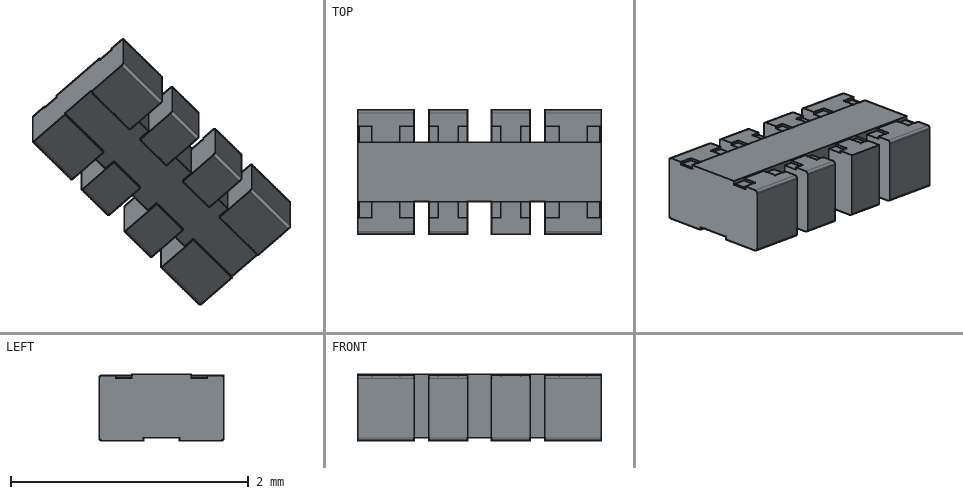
import cadquery as cq

length = 2.05
width = 1.05
height = 0.56

strip_width = 0.50
strip_rise = 0.01
terminal_top = height - strip_rise

end_terminal = (0.55, length / 2)
middle_terminal = (0.10, 0.425)
edge_radius = 0.025

pad_thickness = 0.025
pad_gap = 0.30

pocket_depth = 0.02
pocket_reach = 0.135
end_pocket_length = 0.12
middle_pocket_length = 0.08

pocket_wall = 0.001

ledge_length = 0.0125
ledge_drop = 0.005


def block(x_range, y_range, z_range):
    """Box spanning the given X, Y and Z ranges."""
    sizes = [high - low for low, high in (x_range, y_range, z_range)]
    corner = (x_range[0], y_range[0], z_range[0])
    return cq.Workplane("XY").box(*sizes, centered=False).translate(corner)


def make_center_bar():
    """Core and cover strip, full length, with the lower face above the pads."""
    half_strip = strip_width / 2
    return block((-length / 2, length / 2), (-half_strip, half_strip), (pad_thickness, height))


def make_terminal(x_range, pocket_length, sharp_top=False):
    """One terminal on the +Y side, with its pad and its two corner pockets.

    A sharp-topped terminal keeps its square top edge and a thin wall that
    closes its outer pocket.
    """
    inner_y = strip_width / 2
    outer_y = width / 2
    terminal = block(x_range, (inner_y, outer_y), (0, terminal_top))
    rounded_edges = "(|X and >Y) and <Z" if sharp_top else "|X and >Y"
    terminal = terminal.edges(rounded_edges).fillet(edge_radius)

    pad = block(x_range, (pad_gap / 2, inner_y), (0, pad_thickness))
    terminal = terminal.union(pad)

    low_x, high_x = x_range
    pocket_y = (inner_y, inner_y + pocket_reach)
    pocket_z = (terminal_top - pocket_depth, terminal_top)
    outer_pocket_end = high_x - pocket_wall if sharp_top else high_x
    inner_pocket = (low_x, low_x + pocket_length)
    outer_pocket = (high_x - pocket_length, outer_pocket_end)
    for pocket_x in (inner_pocket, outer_pocket):
        terminal = terminal.cut(block(pocket_x, pocket_y, pocket_z))
    return terminal


def cut_end_ledges(array):
    """Lower the floors of the four outermost pockets next to the end faces."""
    floor_z = terminal_top - pocket_depth
    inner_y = strip_width / 2
    ledge = block(
        (length / 2 - ledge_length, length / 2),
        (inner_y, inner_y + pocket_reach),
        (floor_z - ledge_drop, floor_z),
    )
    for cutter in (ledge, ledge.mirror("XZ")):
        array = array.cut(cutter).cut(cutter.mirror("YZ"))
    return array


def make_array():
    """Center bar with four terminals along each long side."""
    array = make_center_bar()
    kinds = ((end_terminal, end_pocket_length), (middle_terminal, middle_pocket_length))
    for x_range, pocket_length in kinds:
        back_right = make_terminal(x_range, pocket_length)
        back_left = back_right.mirror("YZ")
        front_left = back_left.mirror("XZ")

        is_middle = x_range == middle_terminal
        front_right = make_terminal(x_range, pocket_length, sharp_top=is_middle).mirror("XZ")

        for terminal in (back_right, back_left, front_left, front_right):
            array = array.union(terminal)
    return array


result = cut_end_ledges(make_array())